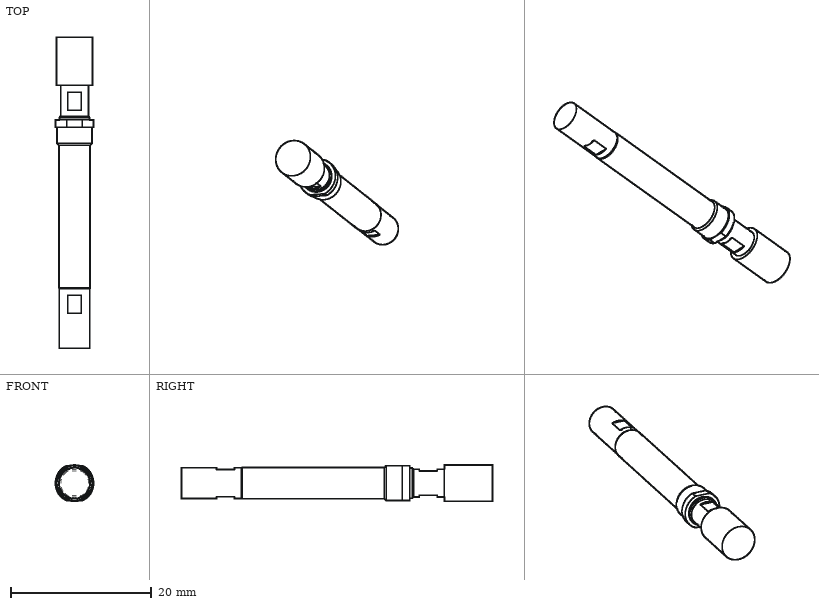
import cadquery as cq

LENGTH = 44.4

BARREL_D = 5.2
NECK_D = 4.0
SHOULDER_D = 4.35
FLANGE_D = 5.45
COLLAR_D = 5.0
BODY_D = 4.5
TAIL_D = 4.4

BARREL_LENGTH = 6.9
NECK_LENGTH = 4.4
NECK_CONE_LENGTH = 0.2
SHOULDER_LENGTH = 0.3
FLANGE_LENGTH = 1.05
COLLAR_LENGTH = 2.3
COLLAR_CONE_LENGTH = 0.25
BODY_LENGTH = 20.3
BODY_CONE_LENGTH = 0.15

FLAT_LENGTH = 2.55
FLAT_WIDTH = 1.95
FLANGE_FLAT_WIDTH = 2.18
NECK_FLAT_START = 7.9
TAIL_FLAT_START = 36.85


neck_y = LENGTH - BARREL_LENGTH
neck_cone_y = neck_y - NECK_LENGTH
shoulder_y = neck_cone_y - NECK_CONE_LENGTH
flange_y = shoulder_y - SHOULDER_LENGTH
collar_y = flange_y - FLANGE_LENGTH
collar_cone_y = collar_y - COLLAR_LENGTH
body_y = collar_cone_y - COLLAR_CONE_LENGTH
body_cone_y = body_y - BODY_LENGTH
tail_y = body_cone_y - BODY_CONE_LENGTH


def turned_pin():
    """Revolve the stepped half outline about the Y axis."""
    sections = [
        (LENGTH, neck_y, BARREL_D, BARREL_D),
        (neck_y, neck_cone_y, NECK_D, NECK_D),
        (neck_cone_y, shoulder_y, NECK_D, SHOULDER_D),
        (shoulder_y, flange_y, SHOULDER_D, SHOULDER_D),
        (flange_y, collar_y, FLANGE_D, FLANGE_D),
        (collar_y, collar_cone_y, COLLAR_D, COLLAR_D),
        (collar_cone_y, body_y, COLLAR_D, BODY_D),
        (body_y, body_cone_y, BODY_D, BODY_D),
        (body_cone_y, tail_y, BODY_D, TAIL_D),
        (tail_y, 0, TAIL_D, TAIL_D),
    ]
    outline = cq.Workplane("XY").moveTo(0, LENGTH)
    position = (0, LENGTH)
    for back_y, front_y, back_d, front_d in sections:
        for corner in [(back_d / 2, back_y), (front_d / 2, front_y)]:
            if corner != position:
                outline = outline.lineTo(*corner)
            position = corner
    return outline.lineTo(0, 0).close().revolve(360, (0, 0), (0, 1))


def flat_cutters(diameter, width, back_y, front_y):
    """Blocks above and below that leave flats of the given width on a round section."""
    flat_z = ((diameter / 2) ** 2 - (width / 2) ** 2) ** 0.5
    block = cq.Workplane("XY").box(
        diameter, back_y - front_y, diameter, centered=(True, False, False)
    ).translate((0, front_y, flat_z))
    return block.union(block.mirror("XY"))


def flat_pair(diameter, width, start):
    """Cutters for a pair of short flats that starts at a distance from the back end."""
    back_y = LENGTH - start
    return flat_cutters(diameter, width, back_y, back_y - FLAT_LENGTH)


result = (
    turned_pin()
    .cut(flat_pair(NECK_D, FLAT_WIDTH, NECK_FLAT_START))
    .cut(flat_pair(TAIL_D, FLAT_WIDTH, TAIL_FLAT_START))
    .cut(flat_cutters(FLANGE_D, FLANGE_FLAT_WIDTH, flange_y, collar_y))
)